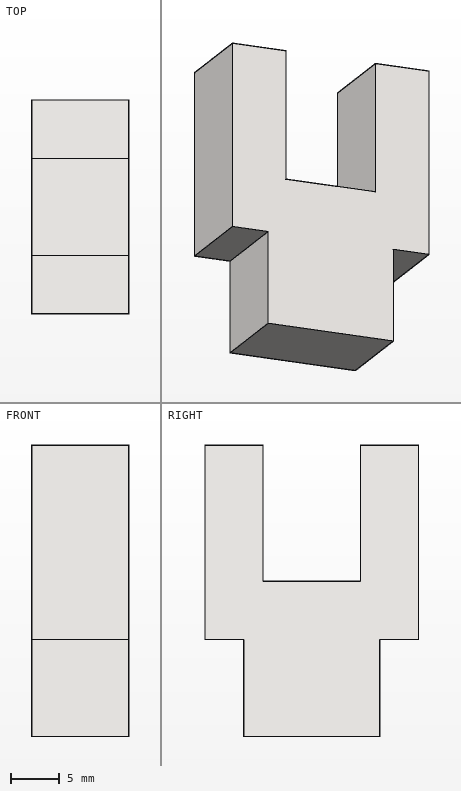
import cadquery as cq

height = 30.0
wall = 6.0
shoulder = 4.0

thickness = height / 3
slot_width = thickness
stem_height = thickness
fork_width = slot_width + 2 * wall
stem_width = fork_width - 2 * shoulder
fork_height = height - stem_height
slot_depth = fork_height - wall


def block(width, block_height, bottom):
    """Full-thickness block centred in X and Y, standing on the given Z."""
    return (
        cq.Workplane("XY", origin=(0, 0, bottom))
        .box(thickness, width, block_height, centered=(True, True, False))
    )


stem = block(stem_width, stem_height, 0)
fork_body = block(fork_width, fork_height, stem_height)
slot = block(slot_width, slot_depth, height - slot_depth)

result = stem.union(fork_body).cut(slot).clean()